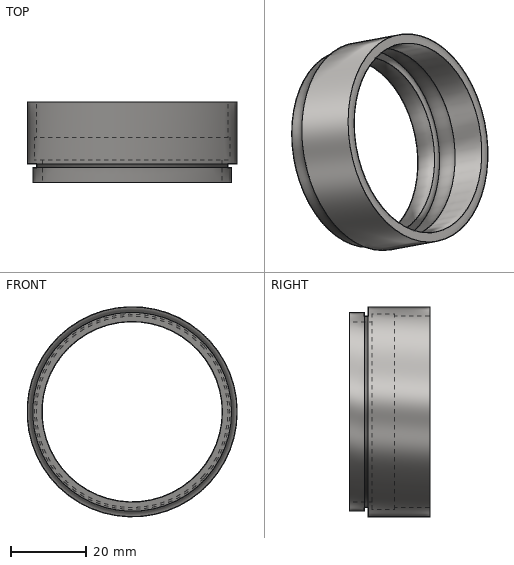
import cadquery as cq

outer_diameter = 56.0
spigot_diameter = 53.0
neck_diameter = 51.0
bore_diameter = 48.0

total_length = 21.5
spigot_length = 4.0
neck_length = 1.0
body_length = total_length - spigot_length - neck_length

rear_bore_diameter = 51.0
relief_diameter = 52.0
front_bore_length = 6.0
relief_length = 6.0


def cylinder(diameter, start_y, length):
    """Solid cylinder on the Y axis running from start_y towards +Y."""
    plane = cq.Workplane(cq.Plane(origin=(0, start_y, 0), xDir=(1, 0, 0), normal=(0, 1, 0)))
    return plane.circle(diameter / 2).extrude(length)


front_y = -total_length / 2
neck_y = front_y + spigot_length
body_y = neck_y + neck_length
back_y = body_y + body_length

spigot = cylinder(spigot_diameter, front_y, spigot_length)
neck = cylinder(neck_diameter, neck_y, neck_length)
body = cylinder(outer_diameter, body_y, body_length)
outside = spigot.union(neck).union(body)

relief_y = front_y + front_bore_length
rear_bore_y = relief_y + relief_length
front_bore = cylinder(bore_diameter, front_y, front_bore_length)
relief = cylinder(relief_diameter, relief_y, relief_length)
rear_bore = cylinder(rear_bore_diameter, rear_bore_y, back_y - rear_bore_y)

result = outside.cut(front_bore).cut(relief).cut(rear_bore)